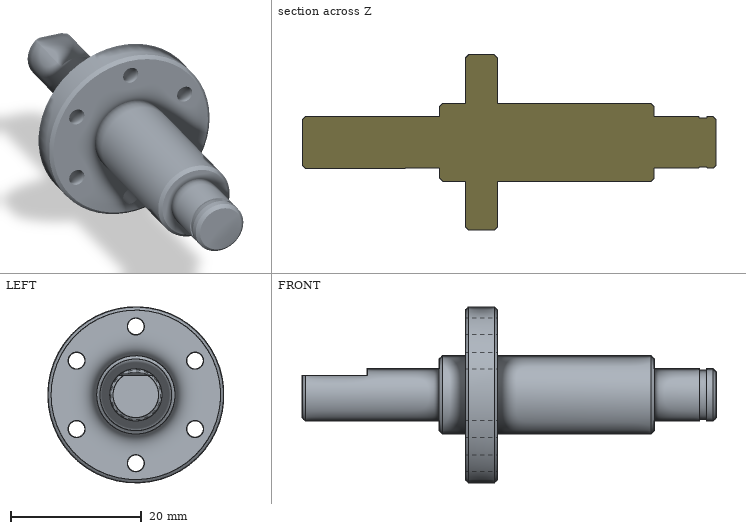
import cadquery as cq

total_length = 63.5
flat_length = 10.0
body_start = 21.0
body_end = 54.0
flange_start = 25.0
flange_thickness = 4.95
groove_start = 60.9
groove_width = 1.1

shaft_diameter = 8.0
body_diameter = 12.0
flange_diameter = 27.0
groove_diameter = 7.6
edge_chamfer = 0.5

flat_height = 3.0
hole_count = 6
hole_diameter = 2.55
hole_circle_diameter = 20.95


def cylinder(start, length, diameter):
    """Plain cylinder along X."""
    return cq.Workplane("YZ", origin=(start, 0, 0)).circle(diameter / 2).extrude(length)


def chamfered_cylinder(start, length, diameter):
    """Cylinder along X with both end edges chamfered."""
    return cylinder(start, length, diameter).edges("%CIRCLE").chamfer(edge_chamfer)


shaft = chamfered_cylinder(0, total_length, shaft_diameter)
body = chamfered_cylinder(body_start, body_end - body_start, body_diameter)
flange = chamfered_cylinder(flange_start, flange_thickness, flange_diameter)
result = shaft.union(body).union(flange)

groove = cylinder(groove_start, groove_width, shaft_diameter).cut(
    cylinder(groove_start, groove_width, groove_diameter)
)
result = result.cut(groove)

flat_cutter = cq.Workplane("XY", origin=(0, 0, flat_height)).box(
    flat_length, shaft_diameter, shaft_diameter, centered=(False, True, False)
)
result = result.cut(flat_cutter)

holes = (
    cq.Workplane("YZ", origin=(flange_start, 0, 0))
    .polarArray(hole_circle_diameter / 2, 90, 360, hole_count)
    .circle(hole_diameter / 2)
    .extrude(flange_thickness)
)
result = result.cut(holes)